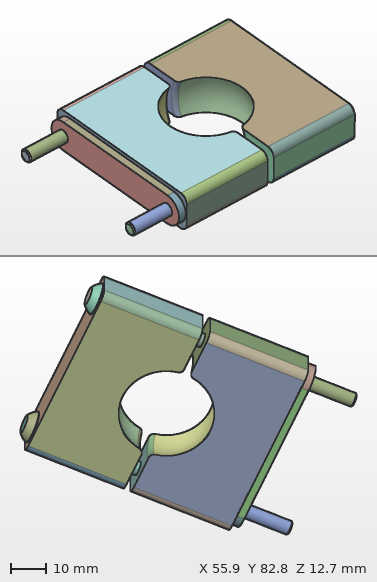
import cadquery as cq
import math

width = 55.88
thickness = 12.7
half_depth = 30.56
gap = 2.26
corner_radius = 2.54
bore_radius = 13.6
seat_radius = math.hypot(bore_radius, thickness / 2)
lip_radius = 1.5

screw_spacing = 45.0
plate_height = 10.2
plate_depth = 2.54

screw_diameter = 4.2
screw_projection = 14.22
tip_chamfer = 0.4
head_diameter = 9.5
head_flat_diameter = 5.5
head_height = 2.61
head_rim_height = 0.2
head_bulge = 0.22

parting = gap / 2
outer_face = parting + half_depth
plate_face = outer_face + plate_depth
tip_face = plate_face + screw_projection


def make_half(side):
    """Clamp half on the +Y (side = 1) or -Y (side = -1) side of the gap."""
    block = (
        cq.Workplane("XY")
        .box(width, half_depth, thickness)
        .edges("|Y")
        .fillet(corner_radius)
        .translate((0, side * (parting + half_depth / 2), 0))
    )
    seated = block.cut(cq.Workplane("XY").sphere(seat_radius))
    inner_face = "<Y" if side > 0 else ">Y"
    seat_box = cq.selectors.BoxSelector(
        (-seat_radius, side * parting - gap / 4, -thickness),
        (seat_radius, side * parting + gap / 4, thickness),
    )
    lips = seated.faces(inner_face).edges("%CIRCLE").edges(seat_box)
    return seated.newObject(lips.vals()).fillet(lip_radius)


def make_plate():
    """Slot-shaped plate against the -Y face of the clamp."""
    return (
        cq.Workplane("XZ", origin=(0, -outer_face, 0))
        .slot2D(screw_spacing + plate_height, plate_height)
        .extrude(plate_depth)
    )


def make_screw(x):
    """Screw revolved about its Y axis, from the chamfered tip to the domed head."""
    shank_radius = screw_diameter / 2
    head_radius = head_diameter / 2
    flat_radius = head_flat_diameter / 2
    rim = outer_face + head_rim_height
    top = outer_face + head_height
    run = head_radius - flat_radius
    rise = top - rim
    chord = math.hypot(run, rise)
    dome_middle = (
        (head_radius + flat_radius) / 2 + head_bulge * rise / chord,
        (rim + top) / 2 + head_bulge * run / chord,
    )
    return (
        cq.Workplane("XY")
        .moveTo(0, -tip_face)
        .lineTo(shank_radius - tip_chamfer, -tip_face)
        .lineTo(shank_radius, -tip_face + tip_chamfer)
        .lineTo(shank_radius, outer_face)
        .lineTo(head_radius, outer_face)
        .lineTo(head_radius, rim)
        .threePointArc(dome_middle, (flat_radius, top))
        .lineTo(0, top)
        .close()
        .revolve(360, (0, 0, 0), (0, 1, 0))
        .translate((x, 0, 0))
    )


result = make_half(1).union(make_half(-1)).union(make_plate())
for screw_x in (-screw_spacing / 2, screw_spacing / 2):
    result = result.union(make_screw(screw_x))